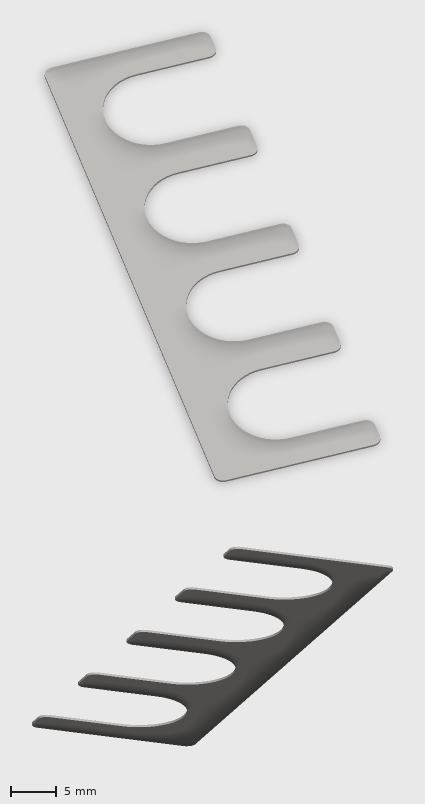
import cadquery as cq

length = 63.0
depth = 19.0
thickness = 0.25
corner_radius = 1.0

slot_count = 4
slot_pitch = 15.0
slot_width = 10.5
spine_width = 4.35

slot_radius = slot_width / 2
slot_center_y = -depth / 2 + spine_width + slot_radius
slot_open_length = depth / 2 - slot_center_y


def slot_cutter(center_x):
    """Slot with a semicircular bottom and straight walls up to the open edge."""
    round_bottom = (
        cq.Workplane("XY").center(center_x, slot_center_y).circle(slot_radius).extrude(thickness)
    )
    straight_walls = (
        cq.Workplane("XY")
        .center(center_x, slot_center_y + slot_open_length / 2)
        .rect(slot_width, slot_open_length)
        .extrude(thickness)
    )
    return round_bottom.union(straight_walls)


plate = cq.Workplane("XY").rect(length, depth).extrude(thickness)
for index in range(slot_count):
    center_x = (index - (slot_count - 1) / 2) * slot_pitch
    plate = plate.cut(slot_cutter(center_x))

outer_edges = plate.faces("<Y or >Y").edges("|Z")
result = outer_edges.fillet(corner_radius)